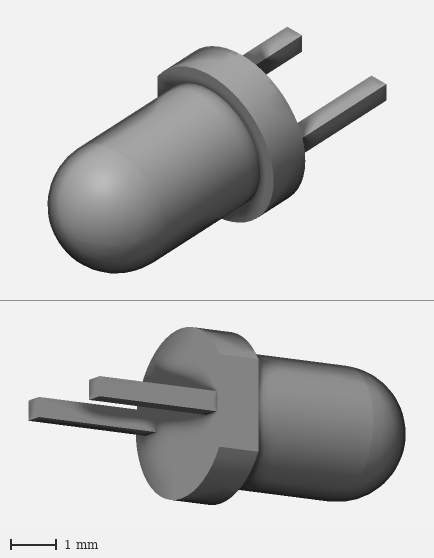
import cadquery as cq

total_length = 8.5
body_radius = 1.5
body_length = 3.0
flange_radius = 1.9
flange_thickness = 1.0
flat_offset = 1.6
lead_width = 0.45
lead_spacing = 2.54

flange_back = flange_thickness
dome_tip = -(body_length + body_radius)
lead_end = dome_tip + total_length


def make_lens():
    """Cylinder with a hemispherical nose, revolved about the Y axis."""
    nose_mid = body_radius * 0.5 ** 0.5
    return (
        cq.Workplane("XY")
        .moveTo(0, flange_back)
        .lineTo(body_radius, flange_back)
        .lineTo(body_radius, -body_length)
        .threePointArc((nose_mid, -body_length - nose_mid), (0, dome_tip))
        .close()
        .revolve(360, (0, 0, 0), (0, 1, 0))
    )


def make_flange():
    """Round flange trimmed by one flat facing -X."""
    disc = cq.Workplane("XZ").circle(flange_radius).extrude(-flange_thickness)
    kept_width = flat_offset + flange_radius
    kept_region = cq.Workplane("XY").box(
        kept_width, flange_thickness, 2 * flange_radius, centered=(False, False, True)
    ).translate((-flat_offset, 0, 0))
    return disc.intersect(kept_region)


def make_leads():
    """Two square leads standing on the back of the flange."""
    return (
        cq.Workplane("XZ", origin=(0, flange_back, 0))
        .pushPoints([(side * lead_spacing / 2, 0) for side in (-1, 1)])
        .rect(lead_width, lead_width)
        .extrude(-(lead_end - flange_back))
    )


result = make_flange().union(make_lens()).union(make_leads())